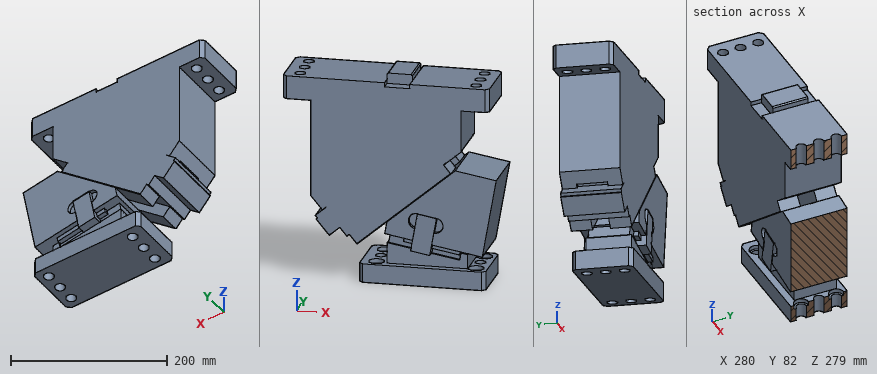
import cadquery as cq
import math

LENGTH = 280.0
WIDTH = 80.0
CORNER_CHAMFER = 5.0
HOLE_PITCH = 25.0
HOLE_DIAMETER = 13.7

PLATE_LENGTH = 270.0
PLATE_TOP = 270.7
PLATE_THICKNESS = 30.8
PLATE_HOLE_INSET = 20.0
STEM_LEFT = 36.7
STEM_RIGHT = 233.5
KEY_CENTER = 150.0
KEY_LENGTH = 33.0
KEY_WIDTH = 50.0
KEY_TOP = 279.0
KEY_SLOT_DEPTH = 5.5
KEY_CHAMFER = 1.7

SLIDE_ANGLE = 40.0
SLIDE_TIP = (97.7, 51.0)
SLIDE_LENGTH = 160.5
SHOULDER_HEIGHT = 14.8
FOOT_HEIGHT = 16.0
FOOT_STEP = 4.2
HOOK_BOTTOM = 30.5
HOOK_LIP_TOP = 57.5
HOOK_TOP = 62.0
HOOK_REACH = 20.0
HOOK_LIP = 2.2
STEM_CUT_BACK = 7.5
GUIDE_GROOVE_WIDTH = 23.5
HOOK_RELIEF_WIDTH = 41.0
HOOK_RELIEF_SIZE = 5.5
HOOK_SLIT_HEIGHT = 0.3
FOOT_CHAMFER = 0.8

SLIDER_ANGLE = -10.0
SLIDER_BASE_LENGTH = 130.0
SLIDER_END_HEIGHT = 105.8
SLIDER_CORNER_Z = 67.7
STRAP_SPAN = 82.0
STRAP_START = 37.2
STRAP_WIDTH = 25.5
STRAP_TOP = 36.7
STRAP_BOTTOM = -14.3
STRAP_POCKET_RADIUS = 10.0
STRAP_POCKET_FLOOR = 35.0
STRIP_START = 24.5
STRIP_END = 99.5
STRIP_HEIGHT = 6.7
STRIP_OUTER_Y = 33.5

BASE_LEFT = 100.0
BASE_LENGTH = 165.5
BASE_THICKNESS = 25.0
BASE_HOLE_INSET_LEFT = 20.0
BASE_HOLE_INSET_RIGHT = 15.0
COUNTERBORE_DIAMETER = 20.0
COUNTERBORE_DEPTH = 5.5
PEDESTAL_LEFT = 134.6
PEDESTAL_RIGHT = 240.2
PEDESTAL_WIDTH = 60.2
RAIL_WIDTH = 54.3
RAIL_START = 5.0
RAIL_END = 100.0
RAIL_HEIGHT = 14.8
PEDESTAL_SHOULDER_DROP = 5.0


def tilted_point(origin, angle, along, up):
    """XZ point at (along, up) in a frame at origin, turned by angle degrees from +X."""
    c = math.cos(math.radians(angle))
    s = math.sin(math.radians(angle))
    return (origin[0] + along * c - up * s, origin[1] + along * s + up * c)


def height_at(point, angle, x):
    """XZ point with the given x on the line through point at angle degrees from +X."""
    return (x, point[1] + (x - point[0]) * math.tan(math.radians(angle)))


def slab(points, y_from, y_to):
    """Prism of an XZ outline from the lower to the higher of two Y positions."""
    outline = cq.Workplane("XZ", origin=(0, y_from, 0)).polyline(points).close()
    return outline.extrude(y_from - y_to)


def centered_slab(points, width):
    return slab(points, -width / 2, width / 2)


def tilted_rectangle(point, start, end, bottom, top):
    """Corner points of a rectangle in the frame of the given point function."""
    return [point(start, bottom), point(end, bottom), point(end, top), point(start, top)]


def chamfered_plate(left, length, bottom, thickness):
    plate = cq.Workplane("XY").box(length, WIDTH, thickness, centered=(False, True, False))
    return plate.edges("|Z").chamfer(CORNER_CHAMFER).translate((left, 0, bottom))


def hole_positions(x_columns):
    return [(x, row * HOLE_PITCH) for x in x_columns for row in (-1, 0, 1)]


def slide(along, up):
    """Point in the driver frame: along the sliding plane and up into the driver."""
    return tilted_point(SLIDE_TIP, SLIDE_ANGLE, along, up)


SLIDER_FAR_X, _ = tilted_point((0, 0), SLIDER_ANGLE, SLIDER_BASE_LENGTH, SLIDER_END_HEIGHT)
SLIDER_CORNER = (LENGTH - SLIDER_FAR_X, SLIDER_CORNER_Z)


def wedge(along, up):
    """Point in the slider frame: along its underside and up from it."""
    return tilted_point(SLIDER_CORNER, SLIDER_ANGLE, along, up)


def make_driver():
    plate_bottom = PLATE_TOP - PLATE_THICKNESS
    driver = chamfered_plate(0, PLATE_LENGTH, plate_bottom, PLATE_THICKNESS)

    stem_outline = [
        (STEM_LEFT, plate_bottom),
        (STEM_RIGHT, plate_bottom),
        height_at(slide(SLIDE_LENGTH, SHOULDER_HEIGHT), SLIDE_ANGLE, STEM_RIGHT),
        slide(SLIDE_LENGTH, SHOULDER_HEIGHT),
        slide(SLIDE_LENGTH, 0),
        slide(0, 0),
        slide(0, FOOT_HEIGHT),
        slide(-FOOT_STEP, FOOT_HEIGHT),
        slide(-FOOT_STEP, HOOK_BOTTOM),
        slide(-HOOK_REACH - HOOK_LIP, HOOK_BOTTOM),
        slide(-HOOK_REACH - HOOK_LIP, HOOK_LIP_TOP),
        slide(-HOOK_REACH, HOOK_LIP_TOP),
        slide(-HOOK_REACH, HOOK_TOP),
        slide(-STEM_CUT_BACK, HOOK_TOP),
        height_at(slide(-STEM_CUT_BACK, HOOK_TOP), SLIDE_ANGLE + 90, STEM_LEFT),
    ]
    driver = driver.union(centered_slab(stem_outline, WIDTH))

    middle_x, middle_z = slide(SLIDE_LENGTH / 2, 0)
    for side in (-1, 1):
        edge_middle = (middle_x, side * WIDTH / 2, middle_z)
        driver = driver.edges(cq.NearestToPointSelector(edge_middle)).chamfer(FOOT_CHAMFER)

    groove = tilted_rectangle(slide, -FOOT_STEP, SLIDE_LENGTH, 0, FOOT_HEIGHT)
    driver = driver.cut(centered_slab(groove, GUIDE_GROOVE_WIDTH))

    relief_end = HOOK_RELIEF_SIZE - STEM_CUT_BACK
    relief = tilted_rectangle(slide, -STEM_CUT_BACK, relief_end, HOOK_TOP, HOOK_TOP + HOOK_RELIEF_SIZE)
    slit = tilted_rectangle(slide, -STEM_CUT_BACK, relief_end, HOOK_TOP, HOOK_TOP + HOOK_SLIT_HEIGHT)
    driver = driver.cut(centered_slab(relief, HOOK_RELIEF_WIDTH)).cut(centered_slab(slit, WIDTH))

    slot_floor = PLATE_TOP - KEY_SLOT_DEPTH
    slot = cq.Workplane("XY").box(KEY_LENGTH, WIDTH, KEY_SLOT_DEPTH, centered=(True, True, False))
    driver = driver.cut(slot.translate((KEY_CENTER, 0, slot_floor)))
    key = cq.Workplane("XY").box(KEY_LENGTH, KEY_WIDTH, KEY_TOP - slot_floor, centered=(True, True, False))
    key = key.edges("|Y and >Z").chamfer(KEY_CHAMFER)
    driver = driver.union(key.translate((KEY_CENTER, 0, slot_floor)))

    columns = (PLATE_HOLE_INSET, PLATE_LENGTH - PLATE_HOLE_INSET)
    holes = cq.Workplane("XY", origin=(0, 0, plate_bottom)).pushPoints(hole_positions(columns))
    return driver.cut(holes.circle(HOLE_DIAMETER / 2).extrude(PLATE_THICKNESS))


def make_strap_pocket():
    """Obround pocket in the +Y side of the slider that seats the upper end of a strap."""
    center_up = STRAP_TOP - STRAP_POCKET_RADIUS
    x, z = wedge(STRAP_START + STRAP_WIDTH / 2, center_up)
    pocket = cq.Workplane("XZ", origin=(x, STRAP_POCKET_FLOOR, z))
    pocket = pocket.slot2D(STRAP_WIDTH + 2 * STRAP_POCKET_RADIUS, 2 * STRAP_POCKET_RADIUS, SLIDER_ANGLE)
    return pocket.extrude(STRAP_POCKET_FLOOR - WIDTH / 2)


def make_strap():
    """Strap on the +Y side: a flat leg, and a lip that reaches under the slider to the rail."""
    strap_end = STRAP_START + STRAP_WIDTH
    leg = tilted_rectangle(wedge, STRAP_START, strap_end, STRAP_BOTTOM, STRAP_TOP)
    lip = tilted_rectangle(wedge, STRAP_START, strap_end, STRAP_BOTTOM, 0)
    strap = slab(leg, STRAP_POCKET_FLOOR, STRAP_SPAN / 2)
    return strap.union(slab(lip, RAIL_WIDTH / 2, STRAP_SPAN / 2))


def make_slider():
    block = tilted_rectangle(wedge, 0, SLIDER_BASE_LENGTH, 0, SLIDER_END_HEIGHT)
    slider = centered_slab(block, WIDTH)

    above_plane = tilted_rectangle(slide, -LENGTH, LENGTH, 0, LENGTH)
    slider = slider.cut(centered_slab(above_plane, WIDTH))

    strip_outline = tilted_rectangle(wedge, STRIP_START, STRIP_END, -STRIP_HEIGHT, 0)
    strip = slab(strip_outline, RAIL_WIDTH / 2, STRIP_OUTER_Y)
    pocket = make_strap_pocket()
    strap = make_strap()
    slider = slider.cut(pocket).cut(pocket.mirror("XZ"))
    for side in (strip, strap):
        slider = slider.union(side).union(side.mirror("XZ"))
    return slider


def make_base():
    base = chamfered_plate(BASE_LEFT, BASE_LENGTH, 0, BASE_THICKNESS)

    pedestal_outline = [
        (PEDESTAL_LEFT, BASE_THICKNESS),
        height_at(wedge(0, -RAIL_HEIGHT), SLIDER_ANGLE, PEDESTAL_LEFT),
        wedge(RAIL_START, -RAIL_HEIGHT),
        wedge(RAIL_START, 0),
        wedge(RAIL_END, 0),
        wedge(RAIL_END, -PEDESTAL_SHOULDER_DROP),
        height_at(wedge(0, -PEDESTAL_SHOULDER_DROP), SLIDER_ANGLE, PEDESTAL_RIGHT),
        (PEDESTAL_RIGHT, BASE_THICKNESS),
    ]
    base = base.union(centered_slab(pedestal_outline, PEDESTAL_WIDTH))

    recess_outline = tilted_rectangle(wedge, RAIL_START, RAIL_END, -RAIL_HEIGHT, 0)
    recess = slab(recess_outline, RAIL_WIDTH / 2, PEDESTAL_WIDTH / 2)
    base = base.cut(recess).cut(recess.mirror("XZ"))

    columns = (BASE_LEFT + BASE_HOLE_INSET_LEFT, BASE_LEFT + BASE_LENGTH - BASE_HOLE_INSET_RIGHT)
    positions = hole_positions(columns)
    screw_positions = [(x, y) for x, y in positions if y != 0]
    counterbore_floor = BASE_THICKNESS - COUNTERBORE_DEPTH
    holes = cq.Workplane("XY").pushPoints(positions).circle(HOLE_DIAMETER / 2)
    counterbores = cq.Workplane("XY", origin=(0, 0, counterbore_floor)).pushPoints(screw_positions)
    counterbores = counterbores.circle(COUNTERBORE_DIAMETER / 2)
    return base.cut(holes.extrude(BASE_THICKNESS)).cut(counterbores.extrude(COUNTERBORE_DEPTH))


driver = make_driver()
slider = make_slider()
base = make_base()

result = cq.Compound.makeCompound([driver.val(), slider.val(), base.val()])